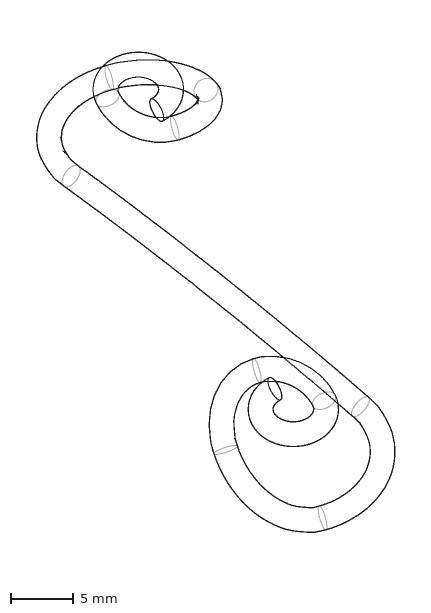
import cadquery as cq
import math

overall_length = 51.55
overall_width = 16.45
overall_height = 8.0
wire_radius = 1.005
low_z = wire_radius
high_z = overall_height - wire_radius

eye_center_x = -18.0
eye_radius = 2.65
eye_gap_angle = math.radians(14)

inner_x = -13.15
inner_y = 1.35

crest_x = -18.1
crest_y = 5.8
outer_x = wire_radius - overall_length / 2

sweep_center_x = -18.0
sweep_radius_x = sweep_center_x - outer_x
sweep_radius_y = overall_width / 2 - wire_radius
sweep_slope = 0.085

steps_per_curve = 8


def loop_height(x):
    """Height in the inclined plane joining the eye to the outer sweep."""
    return low_z + (high_z - low_z) * (x - outer_x) / (inner_x - outer_x)


def ellipse_edge(center, start, quarter_end, end_angle=math.pi / 2):
    """Elliptical curve from start towards quarter_end, up to end_angle."""
    arm_a = start - center
    arm_b = quarter_end - center
    points = []
    for step in range(steps_per_curve + 1):
        angle = end_angle * step / steps_per_curve
        points.append(center + arm_a * math.cos(angle) + arm_b * math.sin(angle))
    end_tangent = arm_b * math.cos(end_angle) - arm_a * math.sin(end_angle)
    return cq.Edge.makeSpline(points, tangents=[arm_b, end_tangent])


def eye_point(angle):
    """Point on the eye at an angle measured from the +X direction."""
    x = eye_center_x + eye_radius * math.cos(angle)
    return cq.Vector(x, eye_radius * math.sin(angle), high_z)


tip = eye_point(eye_gap_angle)
eye_bottom = eye_point(1.5 * math.pi)
inner = cq.Vector(inner_x, inner_y, high_z)
crest = cq.Vector(crest_x, crest_y, loop_height(crest_x))
outer = cq.Vector(outer_x, 0, low_z)
sweep_center = cq.Vector(sweep_center_x, 0, low_z + sweep_slope * sweep_radius_x)
sweep_bottom = sweep_center - cq.Vector(0, sweep_radius_y, 0)

sweep_angle = math.acos(-sweep_radius_x / abs(sweep_center_x))

half_path = [
    cq.Edge.makeThreePointArc(tip, eye_point(math.pi), eye_bottom),
    ellipse_edge(cq.Vector(eye_center_x, inner_y, high_z), eye_bottom, inner),
    ellipse_edge(cq.Vector(crest_x, inner_y, loop_height(crest_x)), inner, crest),
    ellipse_edge(cq.Vector(crest_x, 0, loop_height(crest_x)), crest, outer),
    ellipse_edge(sweep_center, outer, sweep_bottom, sweep_angle),
]

bar_start = half_path[-1].endPoint()
bar_end = cq.Vector(-bar_start.x, -bar_start.y, bar_start.z)
rise_direction = cq.Vector(-bar_start.x, -bar_start.y, -sweep_slope * bar_start.x)
fall_direction = cq.Vector(rise_direction.x, rise_direction.y, -rise_direction.z)
bar = cq.Edge.makeSpline([bar_start, bar_end], tangents=[rise_direction, fall_direction])

other_half = [edge.rotate(cq.Vector(0, 0, 0), cq.Vector(0, 0, 1), 180) for edge in half_path]
path = cq.Wire.assembleEdges(half_path + [bar] + other_half[::-1])

tip_direction = cq.Vector(-math.sin(eye_gap_angle), math.cos(eye_gap_angle), 0)
tip_plane = cq.Plane(origin=tip, xDir=cq.Vector(0, 0, 1), normal=tip_direction)
result = cq.Workplane(tip_plane).circle(wire_radius).sweep(cq.Workplane(path))